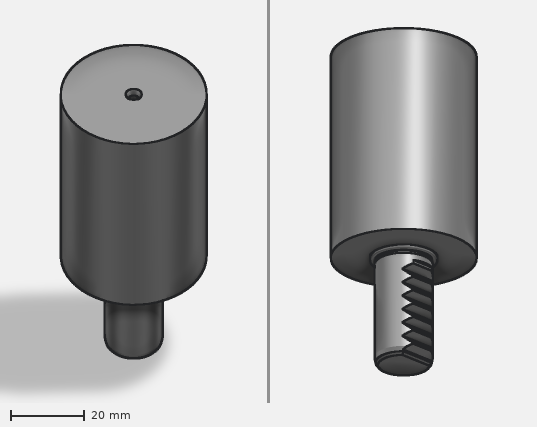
import cadquery as cq
import math


total_length = 92.0
head_length = 60.0
head_radius = 40.0 / 2
shank_length = total_length - head_length

shank_radius = 8.0
neck_radius = 7.7
neck_length = 1.1
neck_taper_end = 1.9
end_chamfer_height = 0.8
end_chamfer_width = 0.6
lead_in_height = 1.4
lead_in_step = 0.3

tooth_count = 6
rack_length = 24.0
tooth_pitch = rack_length / tooth_count
tooth_tip_y = 7.2
tooth_root_y = 5.3
tooth_depth = tooth_tip_y - tooth_root_y
tip_flat = tooth_pitch - 2 * tooth_depth
first_root_z = -6.7
tip_flat_top_z = -3.9

ring_outer_radius = 9.3
ring_section_radius = (ring_outer_radius - neck_radius) / 2
ring_center_radius = neck_radius + ring_section_radius
ring_center_z = -0.4
recess_depth = ring_center_z + ring_section_radius

drill_radius = 1.3
countersink_radius = 2.2
countersink_angle = 60.0
drill_length = 2.5
drill_point_angle = 120.0


def cone_height(radius_change, full_angle):
    """Axial length over which a cone changes its radius by the given amount."""
    return radius_change / math.tan(math.radians(full_angle / 2))


def turned_blank():
    """Head, seal recess, neck and shank as one revolved profile."""
    lead_in_radius = shank_radius - lead_in_step
    chamfer_top_z = end_chamfer_height - shank_length
    return (
        cq.Workplane("XZ")
        .moveTo(0, head_length)
        .lineTo(head_radius, head_length)
        .lineTo(head_radius, 0)
        .lineTo(ring_outer_radius, 0)
        .lineTo(ring_outer_radius, recess_depth)
        .lineTo(neck_radius, recess_depth)
        .lineTo(neck_radius, -neck_length)
        .lineTo(shank_radius, -neck_taper_end)
        .lineTo(shank_radius, chamfer_top_z + lead_in_height)
        .lineTo(lead_in_radius, chamfer_top_z)
        .lineTo(lead_in_radius - end_chamfer_width, -shank_length)
        .lineTo(0, -shank_length)
        .close()
        .revolve(360, (0, 0, 0), (0, 1, 0))
    )


def rack_cutter():
    """Material removed from the shank to leave the teeth and the flat below them."""
    outside_y = head_radius
    points = [(outside_y, tip_flat_top_z), (tooth_tip_y, tip_flat_top_z)]
    points.append((tooth_tip_y, first_root_z + tooth_depth))
    for index in range(tooth_count):
        root_z = first_root_z - index * tooth_pitch
        flat_top_z = root_z - tooth_depth
        points.append((tooth_root_y, root_z))
        points.append((tooth_tip_y, flat_top_z))
        points.append((tooth_tip_y, flat_top_z - tip_flat))
    last_root_z = first_root_z - rack_length
    points.append((tooth_root_y, last_root_z))
    points.append((tooth_root_y, end_chamfer_height - shank_length))
    points.append((tooth_root_y - end_chamfer_width, -shank_length))
    points.append((outside_y, -shank_length))
    return cq.Workplane("YZ").polyline(points).close().extrude(shank_radius, both=True)


def center_hole():
    """Countersunk center hole with a conical drill point."""
    bore_top_z = head_length - cone_height(countersink_radius - drill_radius, countersink_angle)
    bore_bottom_z = bore_top_z - drill_length
    point_z = bore_bottom_z - cone_height(drill_radius, drill_point_angle)
    return (
        cq.Workplane("XZ")
        .moveTo(0, head_length)
        .lineTo(countersink_radius, head_length)
        .lineTo(drill_radius, bore_top_z)
        .lineTo(drill_radius, bore_bottom_z)
        .lineTo(0, point_z)
        .close()
        .revolve(360, (0, 0, 0), (0, 1, 0))
    )


def make_seal_ring():
    """Round-section ring around the neck."""
    return (
        cq.Workplane("XZ")
        .center(ring_center_radius, ring_center_z)
        .circle(ring_section_radius)
        .revolve(360, (-ring_center_radius, 0, 0), (-ring_center_radius, 1, 0))
    )


holder = turned_blank().cut(rack_cutter()).cut(center_hole())
seal_ring = make_seal_ring()

result = cq.Compound.makeCompound([holder.solids().val(), seal_ring.val()])